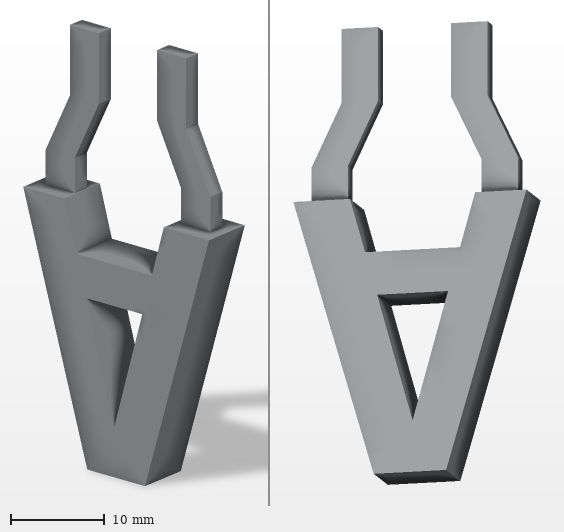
import cadquery as cq

total_height = 49.0
body_width = 25.65
body_depth = 6.0

body_height = 30.05
body_base_width = 8.0

opening_center_x = -0.3
opening_tip_z = 5.6
opening_top_width = 13.75
crossbar_bottom_z = 19.45
crossbar_top_z = 24.15

prong_width = 4.0
prong_depth = 2.0
prong_foot_outer_x = 11.35
prong_end_outer_x = 8.05
prong_foot_height = 4.0
prong_end_height = 8.05


def extrude_centered(outline, depth):
    """Solid with the given XZ outline, centered on the plane Y = 0."""
    return cq.Workplane("XZ").polyline(outline).close().extrude(depth / 2, both=True)


def opening_half_width(z):
    """Half width of the V-shaped opening at height z."""
    return opening_top_width / 2 * (z - opening_tip_z) / (body_height - opening_tip_z)


def make_opening(bottom_z, top_z):
    """Part of the V-shaped opening between two heights, as a cutter."""
    bottom_half = opening_half_width(bottom_z)
    top_half = opening_half_width(top_z)
    outline = [(opening_center_x - bottom_half, bottom_z)]
    if bottom_half > 0:
        outline.append((opening_center_x + bottom_half, bottom_z))
    outline.append((opening_center_x + top_half, top_z))
    outline.append((opening_center_x - top_half, top_z))
    return extrude_centered(outline, body_depth)


def make_body():
    """Tapered block with a triangular window below the crossbar and a notch above it."""
    outline = [
        (-body_base_width / 2, 0),
        (body_base_width / 2, 0),
        (body_width / 2, body_height),
        (-body_width / 2, body_height),
    ]
    block = extrude_centered(outline, body_depth)
    window = make_opening(opening_tip_z, crossbar_bottom_z)
    notch = make_opening(crossbar_top_z, body_height)
    return block.cut(window).cut(notch)


def make_prong(side):
    """Flat prong bent inwards; side is -1 for the left one and 1 for the right one."""
    outer_edge = [
        (prong_foot_outer_x, body_height),
        (prong_foot_outer_x, body_height + prong_foot_height),
        (prong_end_outer_x, total_height - prong_end_height),
        (prong_end_outer_x, total_height),
    ]
    inner_edge = [(x - prong_width, z) for x, z in reversed(outer_edge)]
    outline = [(side * x, z) for x, z in outer_edge + inner_edge]
    return extrude_centered(outline, prong_depth)


body = make_body()
prongs = [make_prong(side) for side in (-1, 1)]

result = cq.Compound.makeCompound([body.val(), *[prong.val() for prong in prongs]])